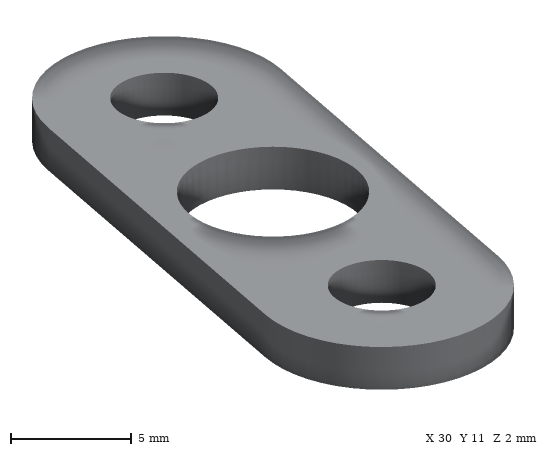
import cadquery as cq

length = 30.0
width = 11.0
thickness = 2.0
center_hole_diameter = 8.0
end_hole_diameter = 4.5

end_hole_spacing = length - width

plate = cq.Workplane("XY").slot2D(length, width).extrude(thickness)

plate = plate.faces(">Z").workplane(origin=(0, 0, 0)).hole(center_hole_diameter)

end_hole_centers = [(side * end_hole_spacing / 2, 0) for side in (-1, 1)]
result = (
    plate.faces(">Z")
    .workplane(origin=(0, 0, 0))
    .pushPoints(end_hole_centers)
    .hole(end_hole_diameter)
)